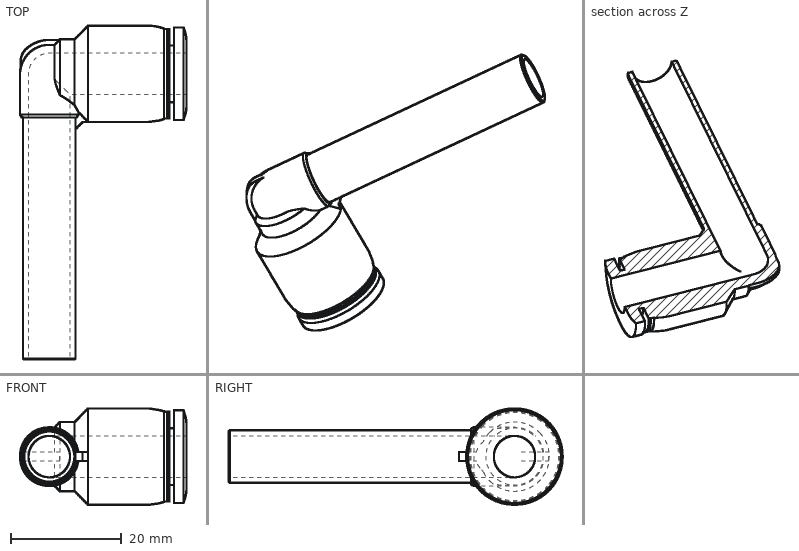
import cadquery as cq
import math


stem_radius = 9.55 / 2
bore_radius = 7.5 / 2
total_length = 60.45
total_width = 30.15
stem_chamfer = 0.25

elbow_radius = 10.65 / 2
collar_end_y = -7.85
collar_chamfer_length = 0.5
collar_chamfer_depth = 0.3

body_radius = 17.5 / 2
neck_radius = 6.3
neck_cone_start_x = 0.95
neck_start_x = neck_cone_start_x + neck_radius - elbow_radius
shoulder_start_x = 4.6
shoulder_end_x = 7.0
taper_start_x = 18.1
taper_end_x = 20.75
taper_end_radius = 8.2
taper_mid_x = (taper_start_x + taper_end_x) / 2
taper_mid_radius = 8.6
ring_radius = 16.25 / 2
ring_end_x = 21.75
groove_start_x = 21.35
groove_end_x = 21.6
groove_radius = 8.0

sleeve_radius = 10.35 / 2
flange_radius = 16.8 / 2
flange_start_x = 22.55
flange_rim_end_x = 24.3
flange_end_x = total_width - elbow_radius
flange_face_radius = 6.05
flange_mid_radius = 7.3
flange_mid_x = 24.65

rib_width = 1.65
back_rib_radius = 6.15
back_rib_fillet = 3.0
back_rib_side_x = -5.2
web_corner_x = 6.05
web_stem_y = -body_radius - (web_corner_x - stem_radius)

stem_end_y = body_radius - total_length


def along_stem(radius, start_y, end_y):
    """Cylinder about the stem axis, from start_y down to end_y."""
    return cq.Workplane("XZ", origin=(0, start_y, 0)).circle(radius).extrude(start_y - end_y)


def along_socket(radius, start_x, end_x):
    """Cylinder about the socket axis."""
    return cq.Workplane("YZ", origin=(start_x, 0, 0)).circle(radius).extrude(end_x - start_x)


def make_socket():
    """Socket body, release sleeve and flange as one turned shape."""
    profile = (
        cq.Workplane("XY")
        .moveTo(0, 0)
        .lineTo(0, elbow_radius)
        .lineTo(neck_cone_start_x, elbow_radius)
        .lineTo(neck_start_x, neck_radius)
        .lineTo(shoulder_start_x, neck_radius)
        .lineTo(shoulder_end_x, body_radius)
        .lineTo(taper_start_x, body_radius)
        .threePointArc((taper_mid_x, taper_mid_radius), (taper_end_x, taper_end_radius))
        .lineTo(taper_end_x, ring_radius)
        .lineTo(groove_start_x, ring_radius)
        .lineTo(groove_start_x, groove_radius)
        .lineTo(groove_end_x, groove_radius)
        .lineTo(groove_end_x, ring_radius)
        .lineTo(ring_end_x, ring_radius)
        .lineTo(ring_end_x, sleeve_radius)
        .lineTo(flange_start_x, sleeve_radius)
        .lineTo(flange_start_x, flange_radius)
        .lineTo(flange_rim_end_x, flange_radius)
        .threePointArc((flange_mid_x, flange_mid_radius), (flange_end_x, flange_face_radius))
        .lineTo(flange_end_x, 0)
        .close()
    )
    return profile.revolve(360, (0, 0, 0), (1, 0, 0))


def make_elbow():
    """Rounded corner with a collar that is chamfered where the stem leaves it."""
    collar = along_stem(elbow_radius, 0, collar_end_y)
    collar = collar.faces("<Y").chamfer(collar_chamfer_length, collar_chamfer_depth)
    return collar.union(cq.Workplane("XY").sphere(elbow_radius))


def make_stem():
    stem = along_stem(stem_radius, 0, stem_end_y)
    return stem.faces("<Y").chamfer(stem_chamfer)


def on_back_arc(angle):
    """Point on the back rib's outer arc at an angle from the socket axis."""
    return (back_rib_radius * math.cos(angle), back_rib_radius * math.sin(angle))


def make_back_rib():
    """Rounded rib over the outside of the elbow, ending in the socket neck."""
    fillet_center_x = back_rib_side_x + back_rib_fillet
    center_distance = back_rib_radius - back_rib_fillet
    tangent_angle = math.acos(fillet_center_x / center_distance)
    fillet_center_y = center_distance * math.sin(tangent_angle)
    fillet_mid_angle = (tangent_angle + math.pi) / 2
    fillet_mid = (
        fillet_center_x + back_rib_fillet * math.cos(fillet_mid_angle),
        fillet_center_y + back_rib_fillet * math.sin(fillet_mid_angle),
    )
    arc_mid_angle = (tangent_angle + math.pi / 2) / 2
    return (
        cq.Workplane("XY", origin=(0, 0, -rib_width / 2))
        .moveTo(back_rib_side_x, 0)
        .lineTo(back_rib_side_x, fillet_center_y)
        .threePointArc(fillet_mid, on_back_arc(tangent_angle))
        .threePointArc(on_back_arc(arc_mid_angle), (0, back_rib_radius))
        .lineTo(neck_start_x, back_rib_radius)
        .lineTo(neck_start_x, 0)
        .close()
        .extrude(rib_width)
    )


def make_web():
    """Web filling the inside corner between the stem and the socket shoulder."""
    outline = [
        (0, 0),
        (0, web_stem_y),
        (stem_radius, web_stem_y),
        (web_corner_x, -body_radius),
        (shoulder_end_x, -body_radius),
        (shoulder_end_x, 0),
    ]
    return cq.Workplane("XY", origin=(0, 0, -rib_width / 2)).polyline(outline).close().extrude(rib_width)


def make_bore():
    """Flow passage through both legs, with a rounded corner."""
    stem_bore = along_stem(bore_radius, 0, stem_end_y)
    socket_bore = along_socket(bore_radius, 0, flange_end_x)
    return stem_bore.union(socket_bore).union(cq.Workplane("XY").sphere(bore_radius))


result = (
    make_socket()
    .union(make_elbow())
    .union(make_stem())
    .union(make_back_rib())
    .union(make_web())
    .cut(make_bore())
)